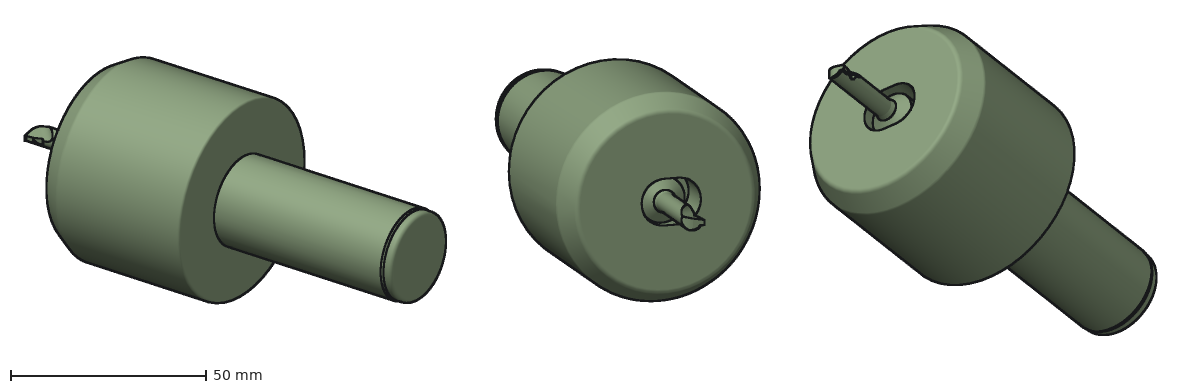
import cadquery as cq
import math


overall_length = 123.0
head_front = 21.9
head_rear = 66.9
head_radius = 55.0 / 2
head_face_radius = 24.0
bevel_angle = 30.0
bevel_length = (head_radius - head_face_radius) / math.tan(math.radians(bevel_angle))
front_edge_round = 1.5
rear_edge_round = 0.7
shank_radius = 25.0 / 2
shank_end_radius = 24.5 / 2
shank_taper_start = 119.7
shank_taper_end = 120.5
shank_end_round = 1.1

neck_radius = 5.3 / 2
collar_start = 21.2
collar_end = 22.6
collar_radius = 6.0 / 2
root_radius = 6.2
root_start = 25.0
root_end = 41.8

slot_depth = 9.8
slot_upper_center = 0.4
slot_lower_center = -3.3

rake_height = 0.6
rake_tilt = 11.0
flute_angle = 45.0
flute_inner = 2.2
flute_radius = 2.6
cut_size = 14.8
tooth_reach = 3.1
tooth_corner = (0.5, -2.8)
tooth_bottom = -1.4
nose_width = 1.5
nose_mid = (0.5, 1.5)
tooth_back = 2.5
relief_deepest = (4.9, -2.0)
relief_end = 5.8
tip_chamfer = 0.31


def make_holder():
    """Beveled head with shank, slotted and bored for the bar."""
    bevel_end = head_front + bevel_length
    head = (
        cq.Workplane("XY")
        .moveTo(head_front, 0)
        .lineTo(head_front, head_face_radius)
        .lineTo(bevel_end, head_radius)
        .lineTo(head_rear, head_radius)
        .lineTo(head_rear, 0)
        .close()
        .revolve(360, (0, 0, 0), (1, 0, 0))
    )
    head = head.faces("<X or %CONE").edges("%CIRCLE").fillet(front_edge_round)
    head = head.faces(">X").edges().fillet(rear_edge_round)
    shank = (
        cq.Workplane("XY")
        .moveTo(head_rear, 0)
        .lineTo(head_rear, shank_radius)
        .lineTo(shank_taper_start, shank_radius)
        .lineTo(shank_taper_end, shank_end_radius)
        .lineTo(overall_length, shank_end_radius)
        .lineTo(overall_length, 0)
        .close()
        .revolve(360, (0, 0, 0), (1, 0, 0))
        .faces(">X").edges().fillet(shank_end_round)
    )
    slot = (
        cq.Workplane("YZ", origin=(head_front, 0, 0))
        .center((slot_upper_center + slot_lower_center) / 2, 0)
        .slot2D(slot_upper_center - slot_lower_center + 2 * root_radius, 2 * root_radius)
        .extrude(slot_depth)
    )
    bore = cq.Workplane("YZ", origin=(head_front, 0, 0)).circle(root_radius).extrude(root_end - head_front)
    return head.union(shank).cut(slot).cut(bore)


def make_bar_blank():
    """Round bar before its tip is ground."""
    return (
        cq.Workplane("XY")
        .lineTo(0, neck_radius - tip_chamfer)
        .lineTo(tip_chamfer, neck_radius)
        .lineTo(collar_start, neck_radius)
        .lineTo(collar_end, collar_radius)
        .lineTo(root_start, root_radius)
        .lineTo(root_end, root_radius)
        .lineTo(root_end, 0)
        .close()
        .revolve(360, (0, 0, 0), (1, 0, 0))
    )


def make_tooth():
    """Cutting corner that stands out of the neck toward -Y."""
    return (
        cq.Workplane("XY", origin=(0, 0, tooth_bottom))
        .lineTo(0, -tooth_reach)
        .lineTo(*tooth_corner)
        .lineTo(tooth_back, -neck_radius)
        .lineTo(tooth_back, 0)
        .close()
        .extrude(neck_radius)
    )


def make_nose_cut():
    """Waste beyond the rounded +Y side of the tip."""
    return (
        cq.Workplane("XY", origin=(0, 0, -cut_size / 2))
        .threePointArc(nose_mid, (nose_width, neck_radius))
        .lineTo(nose_width, cut_size)
        .lineTo(-cut_size, cut_size)
        .lineTo(-cut_size, 0)
        .close()
        .extrude(cut_size)
    )


def make_relief_cut():
    """Shallow notch in the -Y flank behind the tooth."""
    return (
        cq.Workplane("XY", origin=(0, 0, tooth_bottom))
        .moveTo(tooth_back, -neck_radius)
        .lineTo(*relief_deepest)
        .lineTo(relief_end, -neck_radius)
        .lineTo(relief_end, -cut_size)
        .lineTo(tooth_back, -cut_size)
        .close()
        .extrude(cut_size)
    )


def make_flute_cut():
    """Waste above the tilted rake face and its curved diagonal run-out."""
    return (
        cq.Workplane("XZ", origin=(0, cut_size, 0))
        .moveTo(-cut_size, 0)
        .lineTo(flute_inner, 0)
        .radiusArc((flute_inner + flute_radius, flute_radius), -flute_radius)
        .lineTo(flute_inner + flute_radius, cut_size)
        .lineTo(-cut_size, cut_size)
        .close()
        .extrude(2 * cut_size)
        .rotate((0, 0, 0), (0, 0, 1), flute_angle)
        .rotate((0, 0, 0), (1, 0, 0), rake_tilt)
        .translate((0, 0, rake_height))
    )


def make_boring_bar():
    """Boring bar with ground cutting tip."""
    bar = make_bar_blank().union(make_tooth())
    for waste in (make_nose_cut(), make_relief_cut(), make_flute_cut()):
        bar = bar.cut(waste)
    return bar


holder = make_holder()
boring_bar = make_boring_bar()
result = cq.Compound.makeCompound([holder.solids().val(), boring_bar.solids().val()])